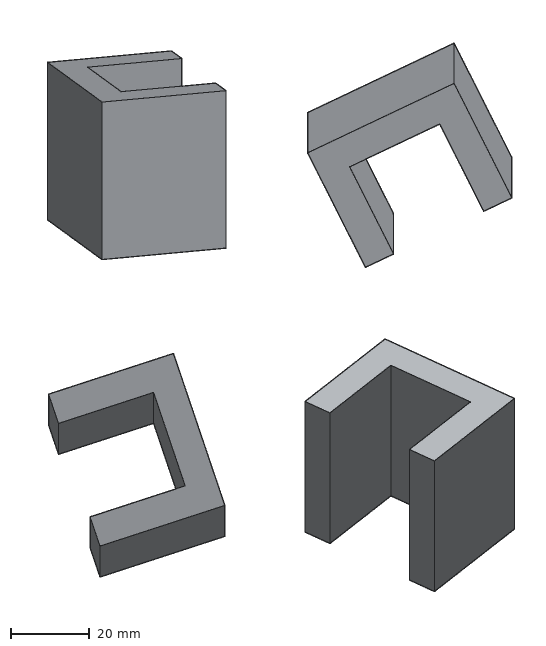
import cadquery as cq

width = 41.4
depth = 33.4
height = 41.4

wall = 8.0
slot_width = width - 2 * wall
slot_depth = depth - wall

block = cq.Workplane("XY").box(width, depth, height, centered=(True, False, False))

slot = (
    cq.Workplane("XY")
    .box(slot_width, slot_depth, height, centered=(True, False, False))
    .translate((0, wall, 0))
)

result = block.cut(slot)